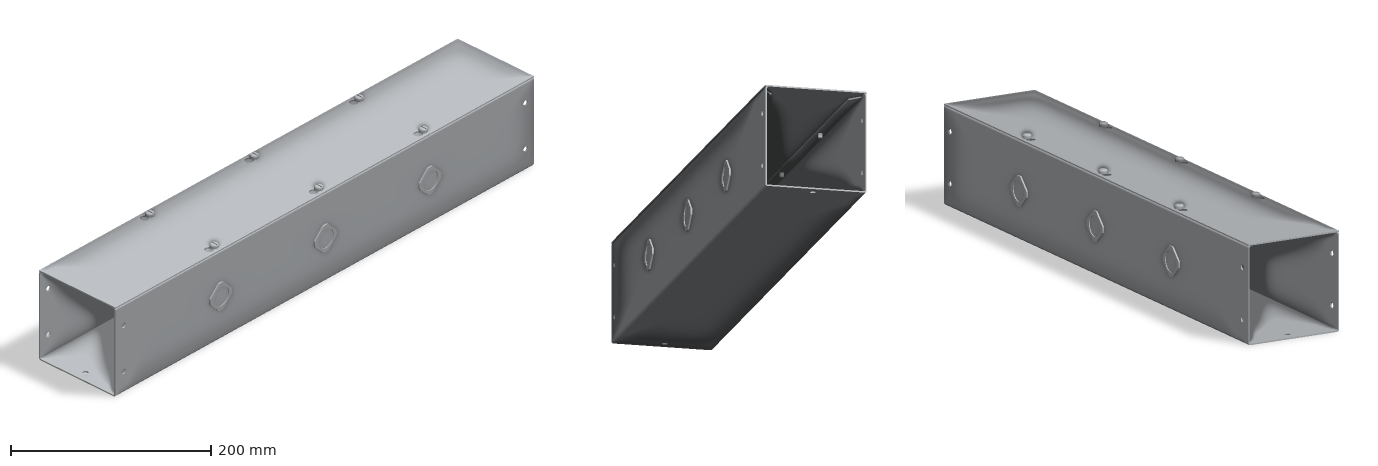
import cadquery as cq

length = 609.6
inner_width = 101.6
sheet = 1.52
bend_radius = 2.35
flange_width = 12.7
flange_end_relief = 12.0
flange_taper = 12.0

knockout_proud = 1.755
knockout_diameter = 32.0
knockout_flats = 26.9
knockout_core_diameter = 22.2
knockout_core_proud = 0.9
station_pitch = length / 4
stations = [-station_pitch, 0, station_pitch]

end_hole_diameter = 6.0
end_hole_inset = 12.0
end_hole_spacing = 54.0

screw_inset = 8.2
shank_diameter = 4.8
shank_length = 8.0
shank_chamfer = 0.8
head_diameter = 9.2
head_round = 2.1
slot_width = 1.2
slot_depth = 1.3
total_height = 108.94
keyhole_offset = 7.5
keyhole_diameter = 9.4

outer_width = inner_width + 2 * sheet
half_width = outer_width / 2
trough_height = outer_width - sheet
cover_top = trough_height + sheet
head_height = total_height - cover_top
mid_height = trough_height / 2
knockout_height = inner_width / 2
screw_x = half_width - screw_inset
end_y = length / 2 - end_hole_inset
screw_points = [(side * screw_x, y) for side in (-1, 1) for y in stations]


def long_box(width, height, radius):
    """Full-length bar centred in the trough with rounded long edges."""
    bar = cq.Workplane("XY").box(width, length, height)
    bar = bar.edges("|Y").fillet(radius)
    return bar.translate((0, 0, mid_height))


def flange_opening():
    """Gap between the two flanges, widening where the flange ends are trimmed."""
    gap = half_width - flange_width
    wide = half_width - bend_radius
    end = length / 2
    taper_start = end - flange_end_relief
    taper_end = taper_start - flange_taper
    right_side = [
        (wide, -end), (wide, -taper_start), (gap, -taper_end),
        (gap, taper_end), (wide, taper_start), (wide, end),
    ]
    left_side = [(-x, y) for x, y in reversed(right_side)]
    outline = right_side + left_side
    plane = cq.Workplane("XY").workplane(offset=mid_height)
    return plane.polyline(outline).close().extrude(trough_height)


def knockout(side, y):
    """Raised pad on a side wall: a square on its corner, rounded off, with its core set slightly lower."""
    wall_face = cq.Workplane("YZ", origin=(side * half_width, y, knockout_height))
    pad = wall_face.circle(knockout_diameter / 2).extrude(side * knockout_proud)
    square = wall_face.transformed(rotate=(0, 0, 45)).rect(knockout_flats, knockout_flats)
    pad = pad.intersect(square.extrude(side * knockout_proud))
    core_face = wall_face.workplane(offset=side * knockout_core_proud)
    recess = core_face.circle(knockout_core_diameter / 2).extrude(side * knockout_proud)
    return pad.cut(recess)


def make_trough():
    """Square trough with inward top flanges, knockouts, end holes and screw holes."""
    bore = long_box(inner_width, trough_height - 2 * sheet, bend_radius - sheet)
    trough = long_box(outer_width, trough_height, bend_radius).cut(bore).cut(flange_opening())
    for side in (-1, 1):
        for y in stations:
            trough = trough.union(knockout(side, y))
    for y in (-end_y, end_y):
        for dz in (-end_hole_spacing / 2, end_hole_spacing / 2):
            side_holes = cq.Workplane("YZ", origin=(0, y, mid_height + dz)).circle(end_hole_diameter / 2)
            trough = trough.cut(side_holes.extrude(half_width, both=True))
    floor_holes = cq.Workplane("XY").pushPoints([(0, -end_y), (0, end_y)]).circle(end_hole_diameter / 2)
    trough = trough.cut(floor_holes.extrude(mid_height))
    shanks = cq.Workplane("XY").workplane(offset=mid_height).pushPoints(screw_points)
    return trough.cut(shanks.circle(shank_diameter / 2).extrude(trough_height))


def make_cover():
    """Flat cover plate with a keyhole for each screw."""
    cover = cq.Workplane("XY").box(outer_width, length, sheet, centered=(True, True, False))
    cover = cover.translate((0, 0, trough_height))
    entries = [(x, y - keyhole_offset) for x, y in screw_points]
    necks = [(x, y - keyhole_offset / 2) for x, y in screw_points]
    base = cq.Workplane("XY").workplane(offset=trough_height)
    cover = cover.cut(base.pushPoints(screw_points).circle(shank_diameter / 2).extrude(sheet))
    cover = cover.cut(base.pushPoints(necks).rect(shank_diameter, keyhole_offset).extrude(sheet))
    return cover.cut(base.pushPoints(entries).circle(keyhole_diameter / 2).extrude(sheet))


def make_screw(x, y):
    """Slotted round-head screw seated on the cover."""
    seat = cq.Workplane("XY", origin=(x, y, cover_top))
    head = seat.circle(head_diameter / 2).extrude(head_height)
    head = head.faces(">Z").edges().fillet(head_round)
    slot_floor = seat.workplane(offset=head_height - slot_depth)
    slot = slot_floor.rect(head_diameter, slot_width).extrude(slot_depth)
    shank = seat.circle(shank_diameter / 2).extrude(-shank_length)
    shank = shank.faces("<Z").chamfer(shank_chamfer)
    return head.cut(slot).union(shank)


trough = make_trough()
cover = make_cover()
screws = [make_screw(x, y).val() for x, y in screw_points]

result = cq.Compound.makeCompound([trough.val(), cover.val(), *screws])